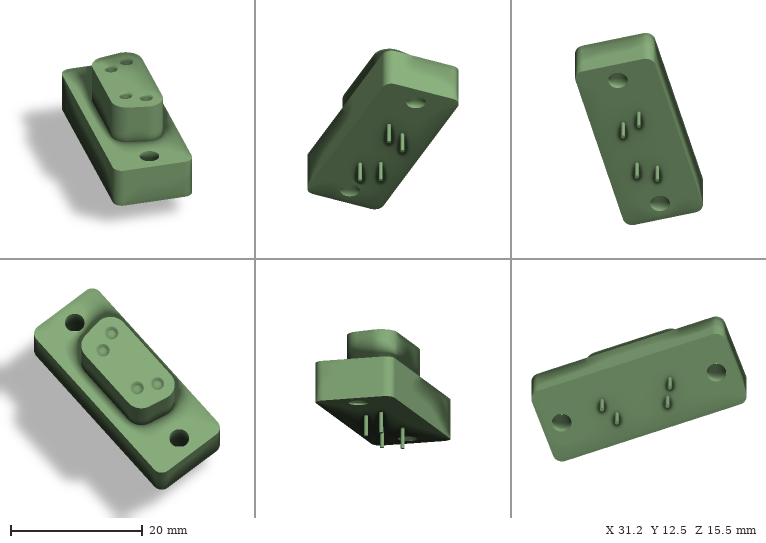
import cadquery as cq
import math

flange_length = 31.2
flange_width = 12.5
flange_height = 6.2
flange_corner_radius = 1.47
mount_hole_diameter = 3.0
mount_hole_spacing = 25.02

shell_mid_width = 16.05
shell_depth = 8.0
shell_height = 6.15
shell_corner_radius = 2.55
shell_side_angle = 10.0

row_spacing = 2.85
back_row_spacing = 10.98
front_row_spacing = 8.17
pin_diameter = 0.6
pin_length = 3.18
socket_top_diameter = 2.15
socket_floor_diameter = 1.4
socket_depth = 0.37

shell_top = flange_height + shell_height
contact_points = [
    (side * spacing / 2, y)
    for spacing, y in ((back_row_spacing, row_spacing / 2), (front_row_spacing, -row_spacing / 2))
    for side in (-1, 1)
]


def make_flange():
    """Rounded plate with its underside at Z = 0 and a mounting hole at each end."""
    plate = cq.Workplane("XY").box(flange_length, flange_width, flange_height, centered=(True, True, False))
    return (
        plate.edges("|Z").fillet(flange_corner_radius)
        .faces(">Z").workplane()
        .pushPoints([(-mount_hole_spacing / 2, 0), (mount_hole_spacing / 2, 0)])
        .hole(mount_hole_diameter)
    )


def make_shell():
    """Rounded trapezoidal block, wider toward +Y."""
    half_depth = shell_depth / 2
    side_shift = half_depth * math.tan(math.radians(shell_side_angle))
    back_x = shell_mid_width / 2 + side_shift
    front_x = shell_mid_width / 2 - side_shift
    corners = [
        (-back_x, half_depth),
        (back_x, half_depth),
        (front_x, -half_depth),
        (-front_x, -half_depth),
    ]
    block = cq.Workplane("XY").workplane(offset=flange_height).polyline(corners).close().extrude(shell_height)
    return block.edges("|Z").fillet(shell_corner_radius)


def make_pins():
    """Round pins hanging below the flange."""
    return cq.Workplane("XY").pushPoints(contact_points).circle(pin_diameter / 2).extrude(-pin_length)


def make_socket(x, y):
    """Tapered, flat-bottomed recess in the shell top."""
    return (
        cq.Workplane("XY", origin=(x, y, shell_top))
        .circle(socket_top_diameter / 2)
        .workplane(offset=-socket_depth)
        .circle(socket_floor_diameter / 2)
        .loft(ruled=True)
    )


result = make_flange().union(make_shell()).union(make_pins())
for contact_x, contact_y in contact_points:
    result = result.cut(make_socket(contact_x, contact_y))